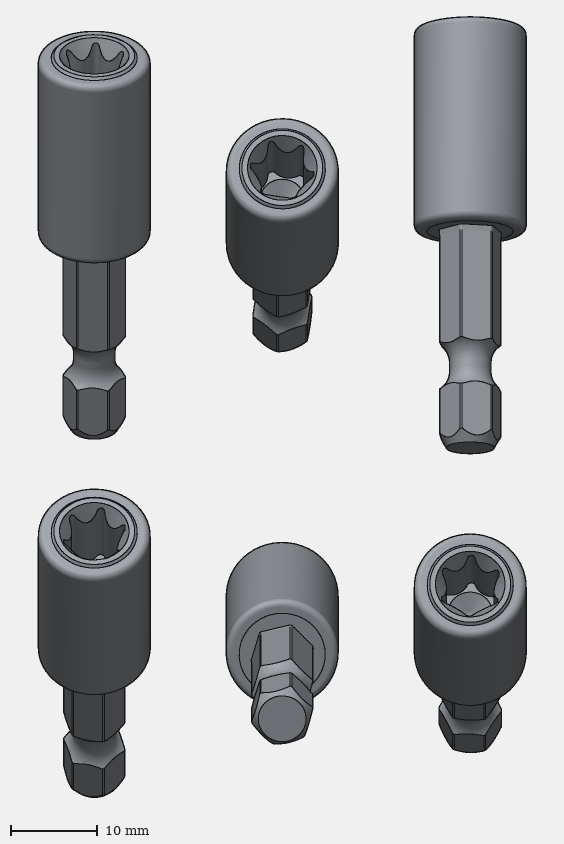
import cadquery as cq
import math

total_height = 50.0

sleeve_radius = 6.45
sleeve_bottom = 25.7
sleeve_top = 49.7
sleeve_fillet = 0.75
bore_radius = 4.95

hex_sides = 6
hex_across_flats = 6.35
hex_corner_radius = 3.6
hex_tip_radius = 2.75
hex_tip_length = 1.5

groove_radius = 2.4
groove_bottom = 9.05
groove_top = 10.1
groove_arc_radius = 2.7
groove_clearance = 0.5

flare_length = 0.7
flare_angle = 5.0

head_chamfer = 0.3

lobe_count = 6
lobe_tip_radius = 3.7
lobe_valley_radius = 2.75
lobe_round = 0.5
socket_depth = 10.0
socket_mouth_radius = 4.0
socket_mouth_depth = 2.1
floor_cone_radius = 2.55
floor_cone_depth = 1.5


def polar(radius, angle):
    """Point in the XY plane at a radius and an angle in radians."""
    return (radius * math.cos(angle), radius * math.sin(angle))


def make_sleeve():
    """Plain tube with both outer rims rounded."""
    height = sleeve_top - sleeve_bottom
    tube = cq.Workplane("XY").workplane(offset=sleeve_bottom).circle(sleeve_radius).extrude(height)
    tube = tube.edges("%CIRCLE").fillet(sleeve_fillet)
    bore = cq.Workplane("XY").workplane(offset=sleeve_bottom).circle(bore_radius).extrude(height)
    return tube.cut(bore)


def make_hex_shank():
    """Hexagon with flats facing -Y and +Y, turned corners, a tapered tip and a flare at the top."""
    hex_diameter = hex_across_flats / math.cos(math.pi / hex_sides)
    flare_start = sleeve_bottom - flare_length
    hexagon = cq.Workplane("XY").polygon(hex_sides, hex_diameter).extrude(flare_start)
    turned_outline = [
        (0, 0),
        (hex_tip_radius, 0),
        (hex_corner_radius, hex_tip_length),
        (hex_corner_radius, flare_start),
        (0, flare_start),
    ]
    turned = cq.Workplane("XZ").polyline(turned_outline).close().revolve(360, (0, 0), (0, 1))
    straight = hexagon.intersect(turned)
    flare = straight.faces(">Z").wires().toPending().workplane().extrude(flare_length, taper=-flare_angle)
    return straight.union(flare)


def make_groove():
    """Ring cut away by the detent groove: a short cylinder between two flaring arcs."""
    groove_reach = hex_corner_radius + groove_clearance
    rise = groove_reach - groove_radius
    half = math.sqrt(groove_arc_radius**2 - (groove_arc_radius - rise) ** 2)
    lower_end = (groove_reach, groove_bottom - half)
    upper_end = (groove_reach, groove_top + half)
    return (
        cq.Workplane("XZ")
        .moveTo(*lower_end)
        .radiusArc((groove_radius, groove_bottom), groove_arc_radius)
        .lineTo(groove_radius, groove_top)
        .radiusArc(upper_end, groove_arc_radius)
        .close()
        .revolve(360, (0, 0), (0, 1))
    )


def make_head():
    """Round head that fills the sleeve bore and stands just proud of it."""
    head = cq.Workplane("XY").workplane(offset=sleeve_bottom).circle(bore_radius)
    return head.extrude(total_height - sleeve_bottom).faces(">Z").chamfer(head_chamfer)


def make_socket():
    """Volume of the six-lobe socket: lobed prism, conical mouth and conical floor."""
    half_pitch = math.pi / lobe_count
    tip_centre = lobe_tip_radius - lobe_round
    offset = lobe_valley_radius - lobe_round
    valley_centre = (tip_centre**2 - offset**2) / (2 * (tip_centre * math.cos(half_pitch) - offset))
    valley_round = valley_centre - lobe_valley_radius

    def tangent_point(tip_angle, valley_angle):
        tip = polar(tip_centre, tip_angle)
        valley = polar(valley_centre, valley_angle)
        share = lobe_round / (lobe_round + valley_round)
        return tuple(t + share * (v - t) for t, v in zip(tip, valley))

    socket_floor = total_height - socket_depth
    outline = cq.Workplane("XY").workplane(offset=socket_floor)
    outline = outline.moveTo(*tangent_point(half_pitch, 0))
    for lobe in range(lobe_count):
        tip_angle = (2 * lobe + 1) * half_pitch
        valley_angle = tip_angle + half_pitch
        lobe_end = tangent_point(tip_angle, valley_angle)
        next_lobe = tangent_point(valley_angle + half_pitch, valley_angle)
        outline = outline.threePointArc(polar(lobe_tip_radius, tip_angle), lobe_end)
        outline = outline.threePointArc(polar(lobe_valley_radius, valley_angle), next_lobe)
    lobes = outline.close().extrude(socket_depth)

    mouth_height = total_height - socket_mouth_depth
    mouth_outline = [
        (0, mouth_height),
        (lobe_valley_radius, mouth_height),
        (socket_mouth_radius, total_height),
        (0, total_height),
    ]
    mouth = cq.Workplane("XZ").polyline(mouth_outline).close().revolve(360, (0, 0), (0, 1))
    cone_outline = [(0, socket_floor), (floor_cone_radius, socket_floor), (0, socket_floor - floor_cone_depth)]
    cone = cq.Workplane("XZ").polyline(cone_outline).close().revolve(360, (0, 0), (0, 1))
    return lobes.union(mouth).union(cone)


def make_driver():
    """Hex shank and socketed head in one piece."""
    return make_hex_shank().cut(make_groove()).union(make_head()).cut(make_socket())


sleeve = make_sleeve()
driver = make_driver()

result = cq.Compound.makeCompound([sleeve.val(), driver.val()])